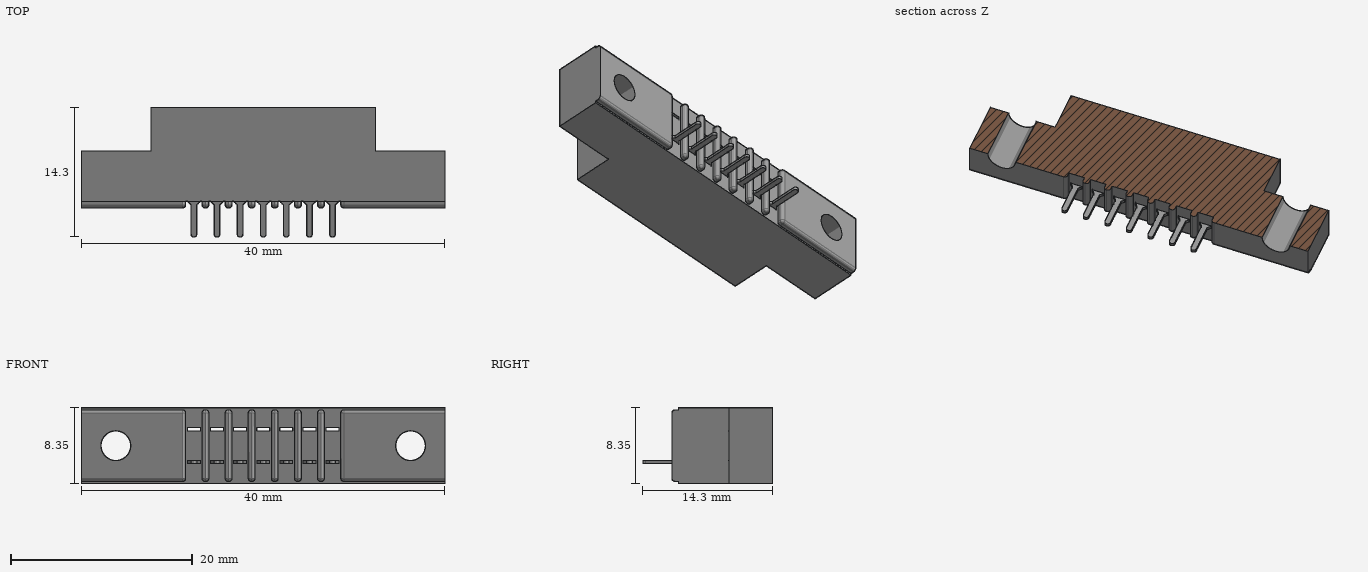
import cadquery as cq

length = 40.0
height = 8.35
flange_depth = 5.55
nose_length = 24.73
nose_depth = 4.8
body_depth = flange_depth + nose_depth

hole_diameter = 3.25
hole_spacing = 32.4

raise_height = 0.72
raise_inset = 0.25
raise_radius = 0.35
pad_gap = 17.05
rib_width = 0.75

contact_count = 7
pitch = 2.54
row_offset = 1.8
slot_width = 1.4
slot_height = 0.35
pin_width = 0.65
pin_reach = 3.92
taper = (slot_width - pin_width) / 2

contact_xs = [(i - (contact_count - 1) / 2) * pitch for i in range(contact_count)]
rib_xs = [x + pitch / 2 for x in contact_xs[:-1]]


def raised_block(x_left, x_right):
    """Plain block standing on the ribbed face between two X positions."""
    raise_z = height - 2 * raise_inset
    return (
        cq.Workplane("XY")
        .box(x_right - x_left, raise_height, raise_z, centered=(False, False, True))
        .translate((x_left, -raise_height, 0))
    )


def make_rib(x):
    """Rib with every exposed edge rounded."""
    rib = raised_block(x - rib_width / 2, x + rib_width / 2)
    return rib.edges("not >Y").fillet(raise_radius)


def make_pad(side):
    """End pad, side -1 or +1, rounded everywhere but at the outer end of the housing."""
    x_left, x_right = sorted((side * pad_gap / 2, side * length / 2))
    pad = raised_block(x_left, x_right)
    outer_end = "<X" if side < 0 else ">X"
    return pad.edges(f"not (>Y or {outer_end})").fillet(raise_radius)


def make_housing():
    """Housing with nose, pads and ribs, pierced by the mounting holes and contact slots."""
    flange = cq.Workplane("XY").box(length, flange_depth, height, centered=(True, False, True))
    nose = (
        cq.Workplane("XY")
        .box(nose_length, nose_depth, height, centered=(True, False, True))
        .translate((0, flange_depth, 0))
    )
    housing = flange.union(nose)
    for side in (-1, 1):
        housing = housing.union(make_pad(side))
    for x in rib_xs:
        housing = housing.union(make_rib(x))

    holes = (
        cq.Workplane("XZ", origin=(0, -raise_height, 0))
        .pushPoints([(-hole_spacing / 2, 0), (hole_spacing / 2, 0)])
        .circle(hole_diameter / 2)
        .extrude(-(flange_depth + raise_height))
    )
    slots = (
        cq.Workplane("XZ")
        .pushPoints([(x, z) for x in contact_xs for z in (-row_offset, row_offset)])
        .rect(slot_width, slot_height)
        .extrude(-body_depth)
    )
    return housing.cut(holes).cut(slots)


def make_contact(x):
    """Flat contact filling a lower slot, tapering to a pin with a round tip."""
    pin_half = pin_width / 2
    slot_half = slot_width / 2
    return (
        cq.Workplane("XY", origin=(x, 0, -row_offset - slot_height / 2))
        .moveTo(-slot_half, body_depth)
        .lineTo(-slot_half, 0)
        .lineTo(-pin_half, -taper)
        .lineTo(-pin_half, -pin_reach + pin_half)
        .threePointArc((0, -pin_reach), (pin_half, -pin_reach + pin_half))
        .lineTo(pin_half, -taper)
        .lineTo(slot_half, 0)
        .lineTo(slot_half, body_depth)
        .close()
        .extrude(slot_height)
    )


housing = make_housing()
contacts = [make_contact(x) for x in contact_xs]

result = cq.Compound.makeCompound([housing.val(), *[contact.val() for contact in contacts]])